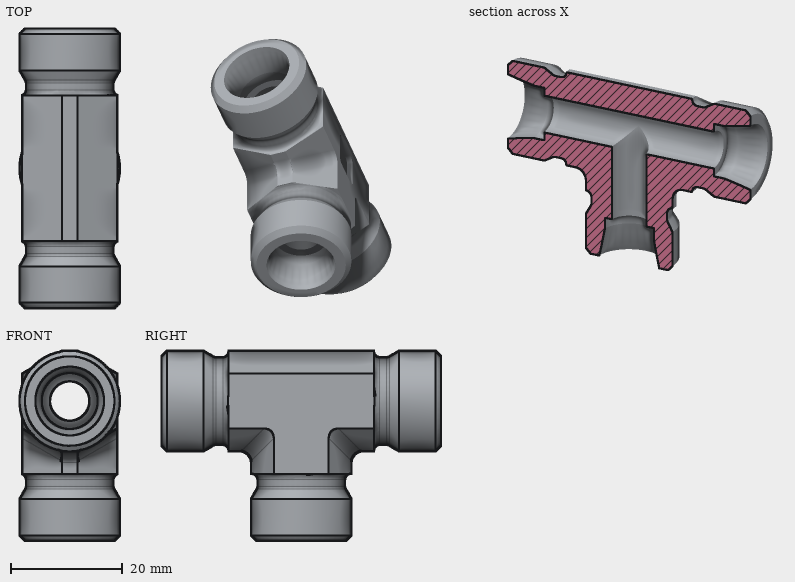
import cadquery as cq
import math

arm_reach = 25.0
body_reach = 13.0

across_flats = 17.0
across_cut_corners = 18.0
valley_fillet = 2.0

thread_diameter = 18.0
thread_length = 7.5
end_chamfer = 1.0
neck_diameter = 15.7
runout_angle = 30.0
neck_fillet = 1.0

passage_diameter = 7.0
socket_diameter = 10.0
socket_depth = 7.5
cone_diameter = 12.3
cone_half_angle = 12.0

recess_size = 7.0
recess_corner = 1.0
recess_depth = 1.0
recess_center_z = -0.95

ARMS = [cq.Vector(0, -1, 0), cq.Vector(0, 1, 0), cq.Vector(0, 0, -1)]

tolerance = 0.0005


def arm_plane(direction):
    """Plane at the crossing whose normal points along the arm and whose local x is X."""
    return cq.Plane(origin=(0, 0, 0), xDir=(1, 0, 0), normal=direction.toTuple())


def hex_bar(direction, length):
    """Hexagonal bar from the crossing, flats at +X and -X, other corners cut flat."""
    plane = arm_plane(direction)
    hexagon_corners = 2 * across_flats / math.sqrt(3)
    turned_sketch = cq.Workplane(plane).transformed(rotate=(0, 0, 90))
    hexagon = turned_sketch.polygon(6, hexagon_corners).extrude(length)
    limits = cq.Workplane(plane).rect(across_flats, across_cut_corners).extrude(length)
    return hexagon.intersect(limits)


def revolve_about_arm(profile, direction):
    """Turn a closed (radius, distance) profile about the axis of an arm."""
    plane = arm_plane(direction)
    section = cq.Plane(origin=(0, 0, 0), xDir=plane.xDir, normal=plane.xDir.cross(plane.zDir))
    return profile(cq.Workplane(section)).revolve(360, (0, 0, 0), (0, 1, 0))


def threaded_end_profile(sketch):
    """Neck with a fillet at the body and at the run-out cone, then the chamfered thread."""
    thread_radius = thread_diameter / 2
    neck_radius = neck_diameter / 2
    thread_start = arm_reach - thread_length
    slope = math.radians(runout_angle)
    cone_foot = thread_start - (thread_radius - neck_radius) / math.tan(slope)
    tangent = neck_fillet * math.tan(slope / 2)
    fillet_center = (neck_radius + neck_fillet, cone_foot - tangent)

    def on_fillet(angle):
        return (fillet_center[0] - neck_fillet * math.cos(angle),
                fillet_center[1] + neck_fillet * math.sin(angle))

    root_mid = neck_fillet * (1 - math.sqrt(0.5))
    return (
        sketch.lineTo(neck_radius + neck_fillet, 0)
        .lineTo(neck_radius + neck_fillet, body_reach)
        .threePointArc((neck_radius + root_mid, body_reach + root_mid),
                       (neck_radius, body_reach + neck_fillet))
        .lineTo(*on_fillet(0))
        .threePointArc(on_fillet(slope / 2), on_fillet(slope))
        .lineTo(thread_radius, thread_start)
        .lineTo(thread_radius, arm_reach - end_chamfer)
        .lineTo(thread_radius - end_chamfer, arm_reach)
        .lineTo(0, arm_reach)
        .close()
    )


def bore_profile(sketch):
    """Passage, tube socket and the sealing cone that opens at the end face."""
    cone_depth = (cone_diameter - socket_diameter) / 2 / math.tan(math.radians(cone_half_angle))
    return (
        sketch.lineTo(passage_diameter / 2, 0)
        .lineTo(passage_diameter / 2, arm_reach - socket_depth)
        .lineTo(socket_diameter / 2, arm_reach - socket_depth)
        .lineTo(socket_diameter / 2, arm_reach - cone_depth)
        .lineTo(cone_diameter / 2, arm_reach)
        .lineTo(0, arm_reach)
        .close()
    )


def threaded_end(direction):
    """Threaded end; its root fillet is kept within the hexagon of the body."""
    turned = revolve_about_arm(threaded_end_profile, direction)
    root_end = body_reach + neck_fillet
    root = turned.intersect(hex_bar(direction, root_end))
    outer_zone = cq.Workplane(arm_plane(direction)).workplane(offset=root_end)
    outer = turned.intersect(outer_zone.circle(thread_diameter).extrude(arm_reach))
    return root.union(outer)


def is_valley_edge(edge):
    """True for the edges between run and branch, where |Y| equals -Z."""
    middle = edge.Center()
    on_diagonal = abs(abs(middle.y) + middle.z) < tolerance
    return on_diagonal and middle.z < -tolerance


body = hex_bar(ARMS[0], body_reach)
for arm in ARMS[1:]:
    body = body.union(hex_bar(arm, body_reach))
body = body.clean()
valleys = [edge for edge in body.edges().vals() if is_valley_edge(edge)]
body = body.newObject(valleys).fillet(valley_fillet)

for arm in ARMS:
    body = body.union(threaded_end(arm))
for arm in ARMS:
    body = body.cut(revolve_about_arm(bore_profile, arm))

recess = (
    cq.Workplane("XY")
    .box(2 * recess_depth, recess_size, recess_size)
    .edges("|X")
    .fillet(recess_corner)
    .translate((-across_flats / 2, 0, recess_center_z))
)
result = body.cut(recess)